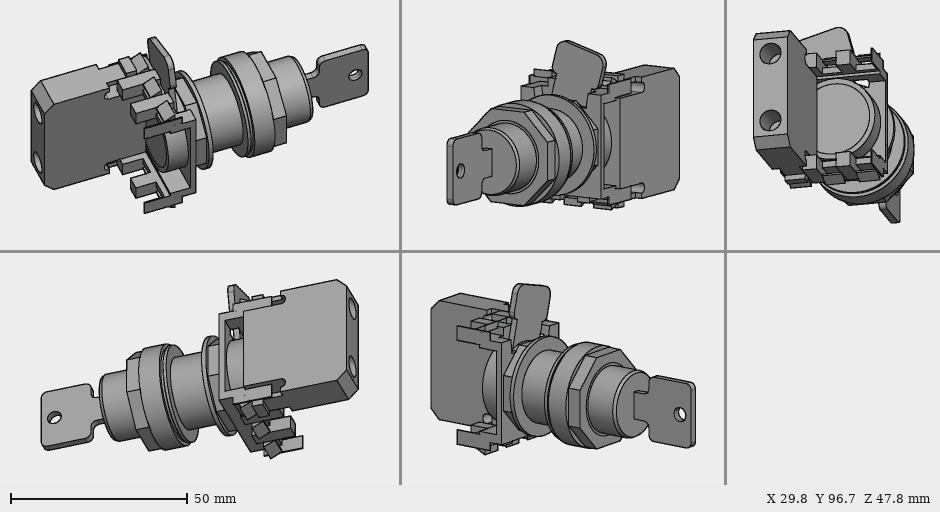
import cadquery as cq
import math


KEY_TIP_Y = 42.2
KEY_HEAD_REAR_Y = 27.2
BARREL_FRONT_Y = 21.9
BEZEL_FRONT_Y = 12.1
BEZEL_RING_Y = 8.0
BEZEL_REAR_Y = 1.8
GASKET_LIP_Y = 1.0
GASKET_REAR_Y = 0
WASHER_FRONT_Y = -10.7
NUT_FRONT_Y = -12.0
BRACKET_FRONT_Y = -15.7
PLATE_REAR_Y = -17.4
LEVER_FRONT_Y = -18.0
ARM_FRONT_Y = -19.8
COLLAR_REAR_Y = -23.5
HOOK_REAR_Y = -25.2
ARM_REAR_Y = -31.4
BLOCK_REAR_Y = KEY_TIP_Y - 96.7

KEY_THICKNESS = 2.1
KEY_HEAD_HALF_HEIGHT = 9.5
KEY_NECK_HALF_HEIGHT = 4.0
KEY_CORNER_RADIUS = 1.8
KEY_HOLE_RADIUS = 2.0
KEY_HOLE_FROM_TIP = 4.0

BARREL_RADIUS = 10.5
BARREL_NOSE_RADIUS = 9.8
NOSE_CHAMFER_LENGTH = 1.0
NOSE_CHAMFER_DEPTH = 0.5
BEZEL_OCTAGON_WIDTH = 26.9
BEZEL_RING_RADIUS = 14.8
GASKET_NECK_RADIUS = 13.5
GASKET_LIP_RADIUS = 14.1
WASHER_RADIUS = 14.4
NUT_OCTAGON_WIDTH = 25.1

BRACKET_HALF_WIDTH = 13.5
PLATE_HALF_HEIGHT = 15.0
INNER_HALF_HEIGHT = 12.3
BLOCK_SEAT_HALF_HEIGHT = 13.15
ARM_HALF_HEIGHT = 17.4
ARM_INNER_X = 2.9
ARM_OUTER_X = 7.1
SIDE_WALL_THICKNESS = 0.4
HOOK_BAR_THICKNESS = 0.5
RAMP_FRONT_Y = -20.0
RAMP_TOP_Z = 18.0
HOOK_APEX_Y = -21.9
HOOK_APEX_Z = 19.05
COLLAR_RADIUS = 12.1
WINDOW_FLOOR_Z = 10.7
WINDOW_FLOOR_HALF_WIDTH = 8.5
WINDOW_TOP_HALF_WIDTH = 9.2
RELIEF_HALF_WIDTH = 5.5
LEVER_SLOT_FLOOR_Z = 8.7

LEVER_TILT = 15
LEVER_TOP = 27.85
LEVER_SHOULDER = 17.8
LEVER_HEAD_LEFT = -6.4
LEVER_HEAD_RIGHT = 9.8
LEVER_NECK_INSET = 1.9
LEVER_CORNER_RADIUS = 2.9
LEVER_SHOULDER_RADIUS = 1.8

BLOCK_LEFT_X = -15.0
BLOCK_RIGHT_X = -4.9
BLOCK_HALF_HEIGHT = 17.5
BLOCK_CHAMFER = 2.9
TONGUE_LEFT_X = -13.0
TONGUE_RIGHT_X = -ARM_OUTER_X
TONGUE_FRONT_Y = -25.4
TONGUE_ROOT_Y = -34.6
SLOT_FLOOR_Z = 13.1
SLOT_ROOF_Z = 16.0
SLOT_STRAIGHT_END_Y = -34.9
SLOT_TIP_Y = -36.2
BUMP_REAR_Y = -28.6
BUMP_TOP_Z = 19.05
WIRE_HOLE_RADIUS = 3.1
WIRE_HOLE_Z = 10.1
WIRE_HOLE_DEPTH = 9.7


def box(x_range, y_range, z_range):
    """Box between two limits on each axis, given in either order."""
    sizes = [abs(b - a) for a, b in (x_range, y_range, z_range)]
    centre = tuple((a + b) / 2 for a, b in (x_range, y_range, z_range))
    return cq.Workplane("XY").box(*sizes).translate(centre)


def disc(radius, front_y, rear_y):
    """Cylinder on the barrel axis."""
    return cq.Workplane("XZ", origin=(0, front_y, 0)).circle(radius).extrude(front_y - rear_y)


def octagon(width, front_y, rear_y):
    """Octagonal prism on the barrel axis with flats facing X and Z."""
    across_corners = width / math.cos(math.pi / 8)
    prism = cq.Workplane("XZ", origin=(0, front_y, 0)).polygon(8, across_corners).extrude(front_y - rear_y)
    return prism.rotate((0, 0, 0), (0, 1, 0), 180 / 8)


def bored(body):
    """The body with the barrel hole cut through it."""
    return body.cut(disc(BARREL_RADIUS, BEZEL_FRONT_Y, COLLAR_REAR_Y))


def with_bottom_copy(body):
    """The body joined to its mirror image below Z = 0."""
    return body.union(body.mirror("XY"))


def make_key():
    half = KEY_THICKNESS / 2
    head = box((-half, half), (KEY_TIP_Y, KEY_HEAD_REAR_Y), (-KEY_HEAD_HALF_HEIGHT, KEY_HEAD_HALF_HEIGHT))
    head = head.edges("|X").fillet(KEY_CORNER_RADIUS)
    neck = box((-half, half), (KEY_HEAD_REAR_Y, BARREL_FRONT_Y), (-KEY_NECK_HALF_HEIGHT, KEY_NECK_HALF_HEIGHT))
    key = head.union(neck)
    inner_corners = cq.selectors.BoxSelector(
        (-half, KEY_HEAD_REAR_Y - half, -KEY_NECK_HALF_HEIGHT - half),
        (half, KEY_HEAD_REAR_Y + half, KEY_NECK_HALF_HEIGHT + half),
    )
    key = key.edges("|X").edges(inner_corners).fillet(KEY_CORNER_RADIUS)
    ring_hole = cq.Workplane("YZ").center(KEY_TIP_Y - KEY_HOLE_FROM_TIP, 0).circle(KEY_HOLE_RADIUS)
    return key.cut(ring_hole.extrude(half, both=True))


def make_barrel():
    nose_face_radius = BARREL_NOSE_RADIUS - NOSE_CHAMFER_DEPTH
    half_profile = [
        (0, BARREL_FRONT_Y),
        (nose_face_radius, BARREL_FRONT_Y),
        (BARREL_NOSE_RADIUS, BARREL_FRONT_Y - NOSE_CHAMFER_LENGTH),
        (BARREL_NOSE_RADIUS, BEZEL_FRONT_Y),
        (BARREL_RADIUS, BEZEL_FRONT_Y),
        (BARREL_RADIUS, COLLAR_REAR_Y),
        (0, COLLAR_REAR_Y),
    ]
    return cq.Workplane("XY").polyline(half_profile).close().revolve(360, (0, 0, 0), (0, 1, 0))


def make_bezel():
    grip = octagon(BEZEL_OCTAGON_WIDTH, BEZEL_FRONT_Y, BEZEL_RING_Y)
    return bored(grip.union(disc(BEZEL_RING_RADIUS, BEZEL_RING_Y, BEZEL_REAR_Y)))


def make_gasket():
    neck = disc(GASKET_NECK_RADIUS, BEZEL_REAR_Y, GASKET_LIP_Y)
    return bored(neck.union(disc(GASKET_LIP_RADIUS, GASKET_LIP_Y, GASKET_REAR_Y)))


def make_washer():
    return bored(disc(WASHER_RADIUS, WASHER_FRONT_Y, NUT_FRONT_Y))


def make_nut():
    return bored(octagon(NUT_OCTAGON_WIDTH, NUT_FRONT_Y, BRACKET_FRONT_Y))


def make_lever():
    """Flat tilted paddle whose foot rests on the barrel."""
    neck_left = LEVER_HEAD_LEFT + LEVER_NECK_INSET
    neck_right = LEVER_HEAD_RIGHT - LEVER_NECK_INSET
    y_range = (LEVER_FRONT_Y, ARM_FRONT_Y)
    head = box((LEVER_HEAD_LEFT, LEVER_HEAD_RIGHT), y_range, (LEVER_SHOULDER, LEVER_TOP))
    head = head.edges("|Y and >Z").fillet(LEVER_CORNER_RADIUS)
    head = head.edges("|Y and <Z").fillet(LEVER_SHOULDER_RADIUS)
    neck = box((neck_left, neck_right), y_range, (0, LEVER_SHOULDER))
    return bored(head.union(neck).rotate((0, 0, 0), (0, 1, 0), -LEVER_TILT))


def make_hook(left_x, right_x):
    """One catch: a wedge that bridges the gap between two neighbouring arms."""
    underside_z = ARM_HALF_HEIGHT - HOOK_BAR_THICKNESS
    outline = [
        (HOOK_APEX_Y, underside_z),
        (HOOK_APEX_Y, HOOK_APEX_Z),
        (HOOK_REAR_Y, ARM_HALF_HEIGHT),
        (HOOK_REAR_Y, underside_z),
    ]
    return cq.Workplane("YZ", origin=(left_x, 0, 0)).polyline(outline).close().extrude(right_x - left_x)


def make_hook_ramp(left_x, right_x):
    """Sloped lead-in that joins the front of a hook."""
    underside_z = ARM_HALF_HEIGHT - HOOK_BAR_THICKNESS
    outline = [(RAMP_FRONT_Y, underside_z), (HOOK_APEX_Y, RAMP_TOP_Z), (HOOK_APEX_Y, underside_z)]
    return cq.Workplane("YZ", origin=(left_x, 0, 0)).polyline(outline).close().extrude(right_x - left_x)


def make_bracket_wall():
    """Upper wall with two arms, two thin side walls and three hooks; the left hook has a ramp."""
    full_width = (-BRACKET_HALF_WIDTH, BRACKET_HALF_WIDTH)
    wall = box(full_width, (BRACKET_FRONT_Y, HOOK_REAR_Y), (INNER_HALF_HEIGHT, PLATE_HALF_HEIGHT))
    side_wall_inner_x = BRACKET_HALF_WIDTH - SIDE_WALL_THICKNESS
    for side in (-1, 1):
        for inner_x, outer_x in ((ARM_INNER_X, ARM_OUTER_X), (side_wall_inner_x, BRACKET_HALF_WIDTH)):
            arm = box(
                (side * inner_x, side * outer_x),
                (ARM_FRONT_Y, ARM_REAR_Y),
                (INNER_HALF_HEIGHT, ARM_HALF_HEIGHT),
            )
            wall = wall.union(arm)
    for left_x, right_x in (
        (-side_wall_inner_x, -ARM_OUTER_X),
        (-ARM_INNER_X, ARM_INNER_X),
        (ARM_OUTER_X, side_wall_inner_x),
    ):
        wall = wall.union(make_hook(left_x, right_x))
    wall = wall.union(make_hook_ramp(-side_wall_inner_x, -ARM_OUTER_X))
    seat = box(full_width, (COLLAR_REAR_Y, ARM_REAR_Y), (INNER_HALF_HEIGHT, BLOCK_SEAT_HALF_HEIGHT))
    return wall.cut(seat)


def make_lever_window():
    """Opening in the upper wall and plate that the lever passes through."""
    outline = [
        (-WINDOW_FLOOR_HALF_WIDTH, WINDOW_FLOOR_Z),
        (WINDOW_FLOOR_HALF_WIDTH, WINDOW_FLOOR_Z),
        (WINDOW_TOP_HALF_WIDTH, PLATE_HALF_HEIGHT),
        (-WINDOW_TOP_HALF_WIDTH, PLATE_HALF_HEIGHT),
    ]
    sketch = cq.Workplane("XZ", origin=(0, BRACKET_FRONT_Y, 0)).polyline(outline).close()
    return sketch.extrude(BRACKET_FRONT_Y - ARM_FRONT_Y)


def make_bracket(lever):
    """Frame behind the nut: a plate with a slotted collar and mirrored upper and lower walls."""
    plate = box(
        (-BRACKET_HALF_WIDTH, BRACKET_HALF_WIDTH),
        (BRACKET_FRONT_Y, PLATE_REAR_Y),
        (-PLATE_HALF_HEIGHT, PLATE_HALF_HEIGHT),
    )
    relief_x = (-RELIEF_HALF_WIDTH, RELIEF_HALF_WIDTH)
    plate_relief = box(relief_x, (BRACKET_FRONT_Y, PLATE_REAR_Y), (-INNER_HALF_HEIGHT, -BARREL_RADIUS))
    collar_relief = box(relief_x, (LEVER_FRONT_Y, ARM_FRONT_Y), (-INNER_HALF_HEIGHT, -BARREL_RADIUS))
    frame = plate.union(with_bottom_copy(make_bracket_wall())).cut(make_lever_window()).cut(plate_relief)
    lever_slot = box(
        (-COLLAR_RADIUS, COLLAR_RADIUS),
        (LEVER_FRONT_Y, ARM_FRONT_Y),
        (LEVER_SLOT_FLOOR_Z, COLLAR_RADIUS),
    )
    collar = disc(COLLAR_RADIUS, BRACKET_FRONT_Y, COLLAR_REAR_Y).cut(collar_relief).cut(lever_slot)
    return bored(frame.union(collar)).cut(lever)


def make_contact_block():
    body = box(
        (BLOCK_LEFT_X, BLOCK_RIGHT_X),
        (COLLAR_REAR_Y, BLOCK_REAR_Y),
        (-BLOCK_HALF_HEIGHT, BLOCK_HALF_HEIGHT),
    )
    body = body.edges("|X and <Y").chamfer(BLOCK_CHAMFER)

    width = (BLOCK_LEFT_X, BLOCK_RIGHT_X)
    step = box(width, (COLLAR_REAR_Y, TONGUE_ROOT_Y), (SLOT_FLOOR_Z, BLOCK_HALF_HEIGHT))
    body = body.cut(with_bottom_copy(step))

    tongue_x = (TONGUE_LEFT_X, TONGUE_RIGHT_X)
    tongue = box(tongue_x, (TONGUE_FRONT_Y, TONGUE_ROOT_Y), (SLOT_ROOF_Z, BLOCK_HALF_HEIGHT))
    bump = box(tongue_x, (TONGUE_FRONT_Y, BUMP_REAR_Y), (SLOT_ROOF_Z, BUMP_TOP_Z))
    body = body.union(with_bottom_copy(tongue.union(bump)))

    slot_middle_z = (SLOT_FLOOR_Z + SLOT_ROOF_Z) / 2
    slot = (
        cq.Workplane("YZ", origin=(BLOCK_LEFT_X, 0, 0))
        .moveTo(COLLAR_REAR_Y, SLOT_FLOOR_Z)
        .lineTo(SLOT_STRAIGHT_END_Y, SLOT_FLOOR_Z)
        .threePointArc((SLOT_TIP_Y, slot_middle_z), (SLOT_STRAIGHT_END_Y, SLOT_ROOF_Z))
        .lineTo(COLLAR_REAR_Y, SLOT_ROOF_Z)
        .close()
        .extrude(BLOCK_RIGHT_X - BLOCK_LEFT_X)
    )
    body = body.cut(with_bottom_copy(slot))

    block_middle_x = (BLOCK_LEFT_X + BLOCK_RIGHT_X) / 2
    wire_hole = (
        cq.Workplane("XZ", origin=(block_middle_x, BLOCK_REAR_Y + WIRE_HOLE_DEPTH, WIRE_HOLE_Z))
        .circle(WIRE_HOLE_RADIUS)
        .extrude(WIRE_HOLE_DEPTH)
    )
    return body.cut(wire_hole).cut(wire_hole.mirror("XY"))


key = make_key()
barrel = make_barrel()
bezel = make_bezel()
gasket = make_gasket()
washer = make_washer()
nut = make_nut()
lever = make_lever()
bracket = make_bracket(lever)
contact_block = make_contact_block()

result = cq.Compound.makeCompound([
    key.val(),
    barrel.val(),
    bezel.val(),
    gasket.val(),
    washer.val(),
    nut.val(),
    lever.val(),
    bracket.val(),
    contact_block.val(),
])